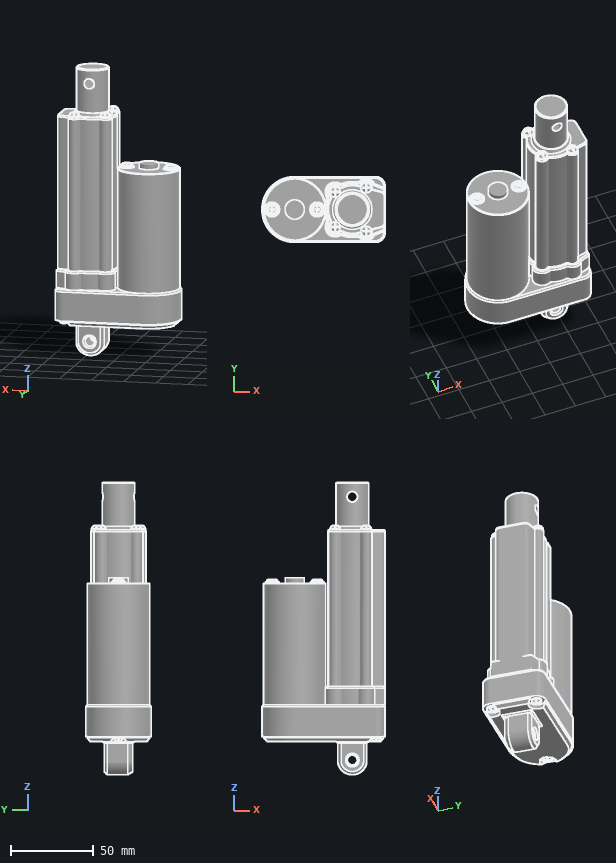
import cadquery as cq
import math


gearbox_length = 75.0
gearbox_width = 40.0
gearbox_height = 22.3
gearbox_right = 20.0
gearbox_left = gearbox_right - gearbox_length
gearbox_corner_radius = 6.0
gearbox_top_bevel_width = 0.9
gearbox_top_bevel_height = 1.2
cover_height = 3.0
cover_inset = 0.9
cover_bevel_width = 1.9
cover_bevel_height = 2.4
cover_pocket_radius = 5.1
cover_screw_radius = 3.0
cover_screw_height = 2.3
cover_pocket_offset = 5.5

motor_x = gearbox_left + gearbox_width / 2
motor_radius = 19.0
motor_top = 96.4
motor_top_bevel = 0.4
motor_boss_radius = 5.9
motor_boss_height = 3.3
motor_boss_round = 0.5
motor_screw_offset = 13.7
motor_washer_base_radius = 4.5
motor_washer_top_radius = 4.0
motor_washer_height = 0.7
motor_screw_head_radius = 3.4
motor_screw_top_radius = 2.5
motor_screw_shoulder = 1.4
motor_screw_height = 2.3
motor_screw_slot_length = 2.6
motor_screw_slot_width = 0.8
motor_screw_slot_depth = 0.8

tube_radius = 15.0
tube_top = 128.7
tube_top_bevel_width = 1.0
tube_top_bevel_height = 0.5
front_lobe_x = 8.4
front_lobe_y = 13.25
front_lobe_radius = 3.6
rear_lobe_x = -10.4
rear_lobe_y = 10.65
rear_lobe_radius = 4.0
web_start_y = 13.3
web_end_y = 10.3
web_corner_radius = 3.3
foot_margin = 2.0
foot_web_start_y = 17.6
foot_web_end_y = 13.0
foot_web_corner_radius = 1.0
foot_top = 33.6
foot_top_bevel = 1.0
junction_round = 0.8

pan_rim_height = 0.8
pan_slot_length = 4.4
pan_slot_width = 0.7
pan_slot_depth = 1.4

cap_screw_radius = 3.2
cap_screw_height = 2.8
collar_base_radius = 12.0
collar_top_radius = 10.4
collar_height = 2.1

clevis_width = 17.7
clevis_round_radius = 9.0
clevis_thickness = 17.6
clevis_hole_z = -11.2
clevis_hole_radius = 3.0
clevis_countersink_radius = 4.1
clevis_edge_bevel = 2.0
clevis_front_bevel = 3.1
clevis_flare = 1.0
clevis_flare_angle = 45
clevis_bottom = clevis_hole_z - clevis_round_radius

overall_height = 177.9
rod_radius = 10.0
rod_top = overall_height + clevis_bottom
rod_bottom = gearbox_height
rod_top_bevel = 0.7
rod_hole_radius = 3.1
rod_hole_from_top = 8.9
rod_hole_z = rod_top - rod_hole_from_top

lobes = [
    (rear_lobe_x, rear_lobe_y, rear_lobe_radius),
    (rear_lobe_x, -rear_lobe_y, rear_lobe_radius),
    (front_lobe_x, front_lobe_y, front_lobe_radius),
    (front_lobe_x, -front_lobe_y, front_lobe_radius),
]


def cylinder(x, y, bottom, top, radius):
    return cq.Workplane("XY", origin=(x, y, bottom)).circle(radius).extrude(top - bottom)


def cross_cutter(top, length, width, depth):
    slot = cq.Workplane("XY", origin=(0, 0, top - depth)).rect(length, width).extrude(2 * depth)
    return slot.union(slot.rotate((0, 0, 0), (0, 0, 1), 90))


def make_pan_screw(radius, height):
    """Domed screw head with a cross recess, seated on Z = 0."""
    crown_rise = height - pan_rim_height
    screw = (
        cq.Workplane("XZ")
        .lineTo(radius, 0)
        .lineTo(radius, pan_rim_height)
        .threePointArc((radius / math.sqrt(2), pan_rim_height + crown_rise / math.sqrt(2)), (0, height))
        .close()
        .revolve(360, (0, 0), (0, 1))
    )
    return screw.cut(cross_cutter(height, pan_slot_length, pan_slot_width, pan_slot_depth))


def gearbox_outline(bottom, inset):
    """Plan of the gearbox: a half circle round the motor and two rounded corners at the other end."""
    half_width = gearbox_width / 2 - inset
    right = gearbox_right - inset
    corner_radius = gearbox_corner_radius - inset
    corner_center_x = right - corner_radius
    corner_center_y = half_width - corner_radius
    corner_reach = corner_radius / math.sqrt(2)
    return (
        cq.Workplane("XY", origin=(0, 0, bottom))
        .moveTo(motor_x, half_width)
        .threePointArc((gearbox_left + inset, 0), (motor_x, -half_width))
        .lineTo(corner_center_x, -half_width)
        .threePointArc(
            (corner_center_x + corner_reach, -corner_center_y - corner_reach), (right, -corner_center_y))
        .lineTo(right, corner_center_y)
        .threePointArc(
            (corner_center_x + corner_reach, corner_center_y + corner_reach), (corner_center_x, half_width))
        .close()
    )


def make_gearbox():
    gearbox = gearbox_outline(cover_height, 0).extrude(gearbox_height - cover_height)
    gearbox = gearbox.faces(">Z").chamfer(gearbox_top_bevel_height, gearbox_top_bevel_width)
    cover = gearbox_outline(cover_height, cover_inset).extrude(-cover_height)
    cover = cover.faces("<Z").chamfer(cover_bevel_height, cover_bevel_width)
    gearbox = gearbox.union(cover)
    corner_x = gearbox_right - cover_pocket_offset
    corner_y = gearbox_width / 2 - cover_pocket_offset
    nose_x = gearbox_left + cover_pocket_offset
    upright_screw = make_pan_screw(cover_screw_radius, cover_screw_height)
    hanging_screw = upright_screw.rotate((0, 0, 0), (1, 0, 0), 180)
    for x, y in [(corner_x, corner_y), (corner_x, -corner_y), (nose_x, 0)]:
        pocket = cylinder(x, y, 0, cover_height, cover_pocket_radius)
        gearbox = gearbox.cut(pocket).union(hanging_screw.translate((x, y, cover_height)))
    return gearbox


def make_motor():
    motor = cylinder(motor_x, 0, gearbox_height, motor_top, motor_radius)
    motor = motor.faces(">Z").chamfer(motor_top_bevel)
    boss_top = motor_top + motor_boss_height
    boss = cylinder(motor_x, 0, motor_top, boss_top, motor_boss_radius)
    motor = motor.union(boss.faces(">Z").edges().fillet(motor_boss_round))
    for side in (-1, 1):
        motor = motor.union(make_motor_screw(motor_x + side * motor_screw_offset))
    return motor


def make_motor_screw(x):
    profile = [
        (0, 0),
        (motor_washer_base_radius, 0),
        (motor_washer_top_radius, motor_washer_height),
        (motor_screw_head_radius, motor_washer_height),
        (motor_screw_head_radius, motor_screw_shoulder),
        (motor_screw_top_radius, motor_screw_height),
        (0, motor_screw_height),
    ]
    screw = cq.Workplane("XZ").polyline(profile).close().revolve(360, (0, 0), (0, 1))
    cross = cross_cutter(
        motor_screw_height, motor_screw_slot_length, motor_screw_slot_width, motor_screw_slot_depth)
    return screw.cut(cross).translate((x, 0, motor_top))


def make_lobed_column(top, margin, web_y, corner_radius):
    """Round column with four screw lobes and a web that reaches the right-hand side."""
    bottom = gearbox_height
    column = cylinder(0, 0, bottom, top, tube_radius + margin)
    for x, y, radius in lobes:
        column = column.union(cylinder(x, y, bottom, top, radius + margin))
    reach = gearbox_width / 2
    left_of_front_lobes = cq.selectors.BoxSelector((-reach, -reach, bottom), (front_lobe_x, reach, top))
    column = column.edges("|Z").edges(left_of_front_lobes).fillet(junction_round)
    start_y, end_y = web_y
    web = (
        cq.Workplane("XY", origin=(0, 0, bottom))
        .polyline([
            (front_lobe_x, -start_y),
            (gearbox_right, -end_y),
            (gearbox_right, end_y),
            (front_lobe_x, start_y),
        ])
        .close()
        .extrude(top - bottom)
        .edges("|Z and >X")
        .fillet(corner_radius)
    )
    return column.union(web)


def make_tube():
    tube = make_lobed_column(tube_top, 0, (web_start_y, web_end_y), web_corner_radius)
    tube = tube.faces(">Z").chamfer(tube_top_bevel_height, tube_top_bevel_width)
    foot = make_lobed_column(
        foot_top, foot_margin, (foot_web_start_y, foot_web_end_y), foot_web_corner_radius)
    foot = foot.faces(">Z").chamfer(foot_top_bevel)
    tube = tube.union(foot)
    collar = (
        cq.Workplane("XY", origin=(0, 0, tube_top))
        .circle(collar_base_radius)
        .workplane(offset=collar_height)
        .circle(collar_top_radius)
        .loft()
    )
    tube = tube.union(collar)
    cap_screw = make_pan_screw(cap_screw_radius, cap_screw_height)
    for x, y, _ in lobes:
        tube = tube.union(cap_screw.translate((x, y, tube_top)))
    return tube


def bevelled_clevis_section(half_width):
    """Half of the clevis section in X and Y; its front corner bevel is deeper than its rear one."""
    half_thickness = clevis_thickness / 2
    flat = half_width - clevis_edge_bevel
    return cq.Workplane("XY").polyline([
        (0, -half_thickness),
        (flat, -half_thickness),
        (half_width, -half_thickness + clevis_front_bevel),
        (half_width, half_thickness - clevis_edge_bevel),
        (flat, half_thickness),
        (0, half_thickness),
    ]).close()


def make_clevis():
    half_shank = bevelled_clevis_section(clevis_width / 2).extrude(clevis_bottom)
    shank = half_shank.union(half_shank.mirror("YZ"))
    eye = bevelled_clevis_section(clevis_round_radius).revolve(360, (0, 0), (0, 1))
    eye = eye.translate((0, 0, clevis_hole_z))
    above_eye = cq.Workplane("XY").rect(2 * clevis_width, 2 * clevis_thickness).extrude(clevis_hole_z)
    clevis = shank.intersect(eye.union(above_eye))
    hole = cq.Workplane("XZ", origin=(0, 0, clevis_hole_z)).circle(clevis_hole_radius)
    clevis = clevis.cut(hole.extrude(clevis_thickness, both=True))
    around_hole = cq.selectors.BoxSelector(
        (-clevis_countersink_radius, -clevis_thickness, clevis_hole_z - clevis_countersink_radius),
        (clevis_countersink_radius, clevis_thickness, clevis_hole_z + clevis_countersink_radius),
        boundingbox=True)
    rims = clevis.faces("<Y or >Y").edges(around_hole)
    clevis = rims.chamfer(clevis_countersink_radius - clevis_hole_radius)
    flare = (
        cq.Workplane("XY")
        .rect(clevis_width + 2 * clevis_flare, clevis_thickness + 2 * clevis_flare)
        .extrude(-clevis_flare, taper=clevis_flare_angle)
    )
    return clevis.union(flare)


def make_housing():
    housing = make_gearbox().union(make_motor()).union(make_tube()).union(make_clevis())
    return housing.cut(cylinder(0, 0, rod_bottom, rod_top, rod_radius))


def make_rod():
    rod = cylinder(0, 0, rod_bottom, rod_top, rod_radius)
    rod = rod.faces(">Z").chamfer(rod_top_bevel)
    hole = cq.Workplane("XZ", origin=(0, 0, rod_hole_z)).circle(rod_hole_radius)
    return rod.cut(hole.extrude(rod_radius, both=True))


housing = make_housing()
rod = make_rod()
result = cq.Compound.makeCompound([housing.val(), rod.val()])